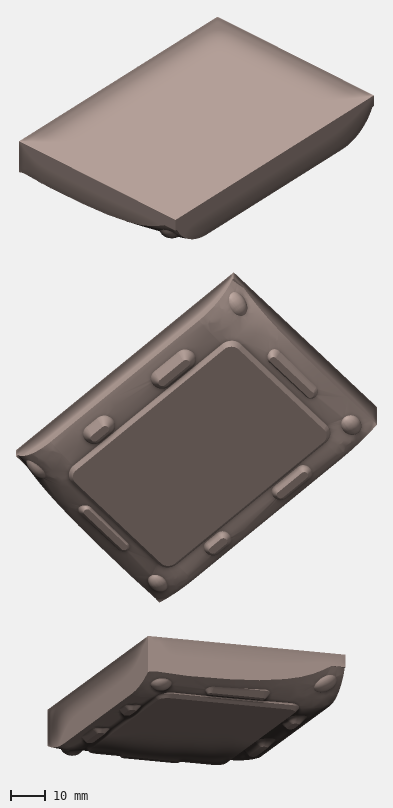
import cadquery as cq
import math

LENGTH_X = 60.0
WIDTH_Y = 85.0
TOTAL_DEPTH = 15.53
HALF_X = LENGTH_X / 2
HALF_Y = WIDTH_Y / 2

PLATE_DEPTH = 3.7

FLAT_HALF_Y = 29.0
SHOULDER_Y = HALF_Y - FLAT_HALF_Y

STATIONS = [
    (-HALF_X, 13.6, 10.7),
    (-20.0, 13.6, 10.7),
    (-10.0, 13.6, 10.65),
    (-0.6, 13.6, 10.35),
    (9.5, 13.6, 9.3),
    (17.0, 13.5, 7.7),
    (21.9, 13.2, 5.8),
    (25.8, 12.8, 3.7),
    (HALF_X, 11.8, 2.2),
]

PANEL_X_MIN = -23.2
PANEL_X_MAX = 20.5
PANEL_HALF_Y = 33.0
PANEL_DEPTH = 14.75
PANEL_CORNER = 4.0
PANEL_BEVEL = 1.1
PANEL_ROOT_DEPTH = 10.5

PAD_ROOT_HEIGHT = 2.5
SIDE_PAD_WIDTH = 6.6
SIDE_PAD_SPANS = [(-21.2, -10.4), (5.3, 21.2)]
SIDE_PAD_FOOT = 2.2
SIDE_PAD_TAPER = 45.0
LEFT_PAD_X = -26.0
RIGHT_PAD_X = 23.6
RIGHT_PAD_DEPTH = 15.0

END_PAD_X_MIN = -11.2
END_PAD_X_MAX = 9.3
END_PAD_Y = 36.4
END_PAD_WIDTH = 5.0
END_PAD_FOOT = 1.8
END_PAD_TAPER = 40.0
END_PAD_DEPTH = 13.7

CORNER_BUMPS = [
    (-24.4, 37.4, 11.3, 3.5, 3.0, 0.0),
    (25.0, 38.2, 6.9, 4.6, 3.2, 30.0),
]

CUT_MARGIN = 2.0


def clearance_section(x, middle_depth, edge_depth):
    """Closed YZ section of the space below the block at one station.

    The shoulder arcs run tangent into the flat middle of the underside.
    """
    rise = middle_depth - edge_depth
    radius = (SHOULDER_Y**2 + rise**2) / (2 * rise)
    half_sweep = math.asin(SHOULDER_Y / radius) / 2
    mid_y = FLAT_HALF_Y + radius * math.sin(half_sweep)
    mid_z = -middle_depth + radius * (1 - math.cos(half_sweep))
    outer_y = HALF_Y + CUT_MARGIN
    floor_z = -TOTAL_DEPTH - CUT_MARGIN
    section = (
        cq.Workplane("YZ", origin=(x, 0, 0))
        .moveTo(-outer_y, floor_z)
        .lineTo(-outer_y, -edge_depth)
        .lineTo(-HALF_Y, -edge_depth)
        .threePointArc((-mid_y, mid_z), (-FLAT_HALF_Y, -middle_depth))
        .lineTo(FLAT_HALF_Y, -middle_depth)
        .threePointArc((mid_y, mid_z), (HALF_Y, -edge_depth))
        .lineTo(outer_y, -edge_depth)
        .lineTo(outer_y, floor_z)
        .close()
    )
    return section.val()


def make_block():
    """Box whose underside is carved to the lofted shape, never above the backing plate."""
    clearance = cq.Workplane(cq.Solid.makeLoft([clearance_section(*station) for station in STATIONS]))
    carved = cq.Workplane().box(LENGTH_X, WIDTH_Y, TOTAL_DEPTH).translate((0, 0, -TOTAL_DEPTH / 2))
    plate = cq.Workplane().box(LENGTH_X, WIDTH_Y, PLATE_DEPTH).translate((0, 0, -PLATE_DEPTH / 2))
    return carved.cut(clearance).union(plate)


def make_pad(length, width, foot, taper):
    """Pad lying along X, centred in plan, with its tip on Z = 0 and its root above."""
    tip = cq.Workplane("XY", origin=(0, 0, foot)).slot2D(length, width).extrude(-foot, taper=taper)
    root = cq.Workplane("XY", origin=(0, 0, foot)).slot2D(length, width).extrude(PAD_ROOT_HEIGHT)
    return tip.union(root)


def make_panel():
    height = PANEL_DEPTH - PANEL_ROOT_DEPTH
    panel = cq.Workplane().box(PANEL_X_MAX - PANEL_X_MIN, 2 * PANEL_HALF_Y, height)
    panel = panel.edges("|Z").fillet(PANEL_CORNER).faces("<Z").chamfer(PANEL_BEVEL)
    return panel.translate(((PANEL_X_MIN + PANEL_X_MAX) / 2, 0, -PANEL_DEPTH + height / 2))


def make_side_pad(center_x, y_min, y_max, depth):
    pad = make_pad(y_max - y_min, SIDE_PAD_WIDTH, SIDE_PAD_FOOT, SIDE_PAD_TAPER)
    pad = pad.rotate((0, 0, 0), (0, 0, 1), 90)
    return pad.translate((center_x, (y_min + y_max) / 2, -depth))


def make_end_pad(side):
    pad = make_pad(END_PAD_X_MAX - END_PAD_X_MIN, END_PAD_WIDTH, END_PAD_FOOT, END_PAD_TAPER)
    return pad.translate(((END_PAD_X_MIN + END_PAD_X_MAX) / 2, side * END_PAD_Y, -END_PAD_DEPTH))


def make_bump(center, half_length, radius, tilt):
    """Ellipse revolved about its long axis, then tilted in the XZ plane."""
    bump = (
        cq.Workplane("XZ")
        .ellipseArc(half_length, radius, 0, 180, startAtCurrent=False)
        .close()
        .revolve(360, (0, 0, 0), (1, 0, 0))
    )
    return bump.rotate((0, 0, 0), (0, 1, 0), -tilt).translate(center)


result = make_block().union(make_panel())
for y_min, y_max in SIDE_PAD_SPANS:
    result = result.union(make_side_pad(LEFT_PAD_X, y_min, y_max, TOTAL_DEPTH))
    result = result.union(make_side_pad(RIGHT_PAD_X, y_min, y_max, RIGHT_PAD_DEPTH))
for side in (-1, 1):
    result = result.union(make_end_pad(side))
    for bump_x, bump_y, bump_depth, half_length, radius, tilt in CORNER_BUMPS:
        center = (bump_x, side * bump_y, -bump_depth)
        result = result.union(make_bump(center, half_length, radius, tilt))